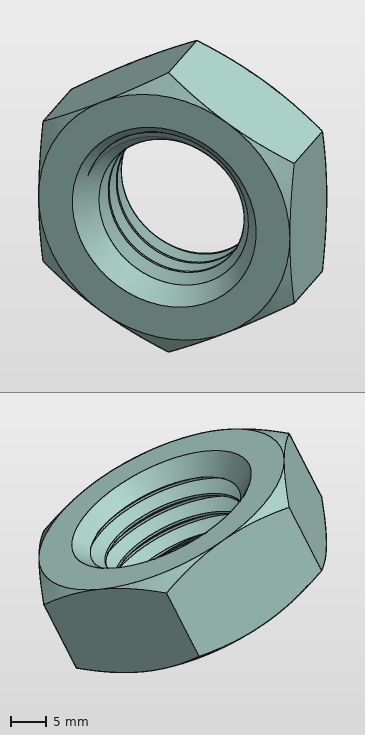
import cadquery as cq
import math

across_corners = 44.0
across_flats = across_corners * math.cos(math.radians(30))
thickness = 14.6
corner_chamfer_angle = 30.0

pitch = 3.15
bore_radius = 10.6
root_radius = 12.65
root_flat = pitch / 8
flank_half_angle = 30.0
thread_lead_in = 3.83
thread_run_out = 2.2

countersink_radius = 13.95
countersink_depth = countersink_radius - bore_radius


def hexagon_body():
    """Hexagonal prism standing on Z = 0, with two corners on the Y axis."""
    return cq.Workplane("XY").polygon(6, across_corners).extrude(thickness).rotate((0, 0, 0), (0, 0, 1), 90)


def corner_envelope():
    """Turned blank whose conical ends chamfer the hexagon corners."""
    face_radius = across_flats / 2
    outer_radius = across_corners / 2 + 0.45
    drop = (outer_radius - face_radius) * math.tan(math.radians(corner_chamfer_angle))
    outline = [
        (0, 0),
        (face_radius, 0),
        (outer_radius, drop),
        (outer_radius, thickness - drop),
        (face_radius, thickness),
        (0, thickness),
    ]
    return cq.Workplane("XZ").polyline(outline).close().revolve(360, (0, 0), (0, 1))


def countersunk_bore():
    """Bore with a cone opening at each end."""
    outline = [
        (0, 0),
        (countersink_radius, 0),
        (bore_radius, countersink_depth),
        (bore_radius, thickness - countersink_depth),
        (countersink_radius, thickness),
        (0, thickness),
    ]
    return cq.Workplane("XZ").polyline(outline).close().revolve(360, (0, 0), (0, 1))


def thread_groove():
    """Helical V groove with a narrow flat at its root, its open side lying on the bore."""
    length = thread_lead_in + thickness + thread_run_out
    root_half = root_flat / 2
    mouth_half = root_half + (root_radius - bore_radius) * math.tan(math.radians(flank_half_angle))
    profile = [
        (bore_radius, -mouth_half),
        (root_radius, -root_half),
        (root_radius, root_half),
        (bore_radius, mouth_half),
    ]

    edges = []
    for radius, offset in profile:
        helix = cq.Wire.makeHelix(pitch, length, radius)
        edges.append(helix.translate(cq.Vector(0, 0, offset - thread_lead_in)))
    faces = [cq.Face.makeRuledSurface(edges[i - 1], edges[i]) for i in range(len(edges))]

    for travel in (0, length):
        turn = 2 * math.pi * travel / pitch
        corners = [
            cq.Vector(radius * math.cos(turn), radius * math.sin(turn), offset + travel - thread_lead_in)
            for radius, offset in profile
        ]
        faces.append(cq.Face.makeFromWires(cq.Wire.makePolygon(corners, close=True)))
    return cq.Workplane(cq.Solid.makeSolid(cq.Shell.makeShell(faces)))


nut = hexagon_body().intersect(corner_envelope())
nut = nut.cut(countersunk_bore()).cut(thread_groove())

result = nut.rotate((0, 0, 0), (1, 0, 0), -90).translate((0, -thickness / 2, 0))